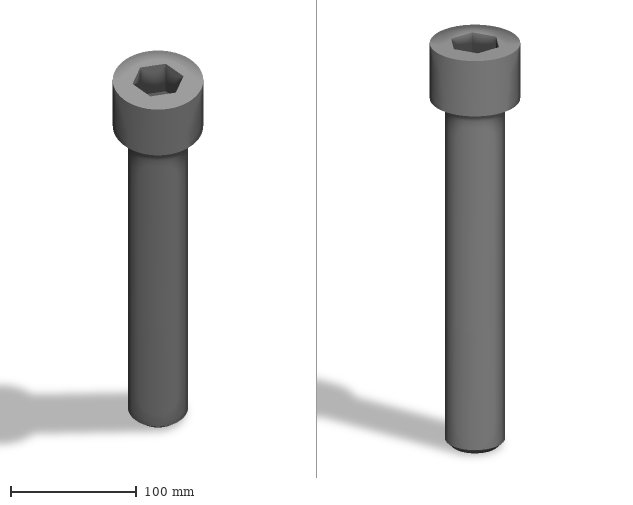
import math
import cadquery as cq

nominal_diameter = 48.0
shank_length = 300.0
head_diameter = 1.5 * nominal_diameter
head_height = nominal_diameter
thread_length = 2 * nominal_diameter + 12.0
tip_chamfer = 5.0
socket_across_flats = 0.75 * nominal_diameter
socket_depth = 0.6 * nominal_diameter


def make_head():
    """Plain cylindrical head above Z = 0."""
    return cq.Workplane("XY").circle(head_diameter / 2).extrude(head_height)


def make_shank():
    """Unthreaded length of the shank, hanging below the head."""
    plain_length = shank_length - thread_length
    return cq.Workplane("XY").circle(nominal_diameter / 2).extrude(-plain_length)


def make_threaded_end():
    """Threaded length as a plain cylinder with a chamfered tip."""
    return (
        cq.Workplane("XY")
        .workplane(offset=-shank_length)
        .circle(nominal_diameter / 2)
        .extrude(thread_length)
        .faces("<Z")
        .chamfer(tip_chamfer)
    )


def make_socket():
    """Hexagonal key socket, with corners on the X axis and flats facing Y."""
    across_corners = socket_across_flats / math.cos(math.pi / 6)
    return (
        cq.Workplane("XY")
        .workplane(offset=head_height)
        .polygon(6, across_corners)
        .extrude(-socket_depth)
    )


screw = make_head().union(make_shank()).union(make_threaded_end(), clean=False)
result = screw.cut(make_socket(), clean=False)